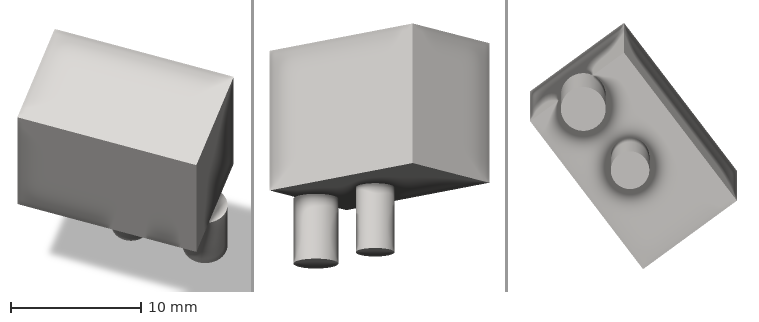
import cadquery as cq

total_height = 16.1

housing_length = 14.5
housing_width = 9.0
housing_height = 11.0

pin_length = total_height - housing_height
thin_pin_diameter = 2.96
thick_pin_diameter = 3.45
pin_pitch = 6.0
thick_pin_overhang = 0.92

thick_pin_x = housing_length + thick_pin_overhang - thick_pin_diameter / 2
thin_pin_x = thick_pin_x - pin_pitch


def make_housing():
    """Plain block with its bottom face at Z = 0."""
    return cq.Workplane("XY").box(
        housing_length, housing_width, housing_height, centered=(False, True, False)
    )


def make_pin(center_x, diameter):
    """Cylinder hanging from the plane of the housing's bottom face."""
    return cq.Workplane("XY").center(center_x, 0).circle(diameter / 2).extrude(-pin_length)


housing = make_housing()
thin_pin = make_pin(thin_pin_x, thin_pin_diameter)
thick_pin = make_pin(thick_pin_x, thick_pin_diameter)

result = cq.Compound.makeCompound([housing.val(), thin_pin.val(), thick_pin.val()])